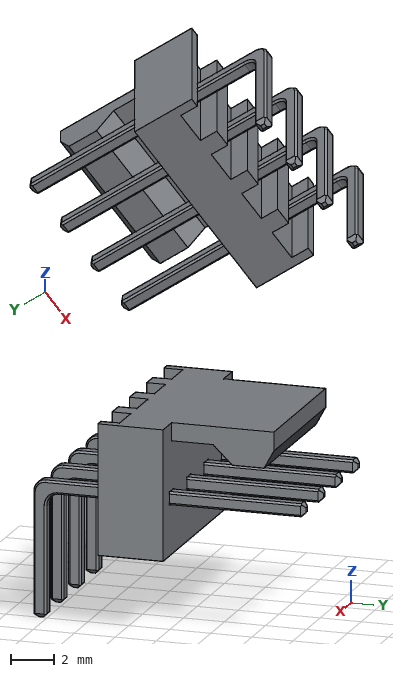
import cadquery as cq


pin_count = 4
housing_width = 10.16
pitch = housing_width / pin_count

housing_depth = 3.18
housing_height = 6.35
slot_depth = 0.91
rib_width = 0.91
slot_width = pitch - rib_width

latch_width = (pin_count - 1) * pitch
latch_length = 4.98
latch_thickness = 0.87
hook_height = 1.79
hook_nose_height = 0.91
hook_lead_in = 0.48
hook_flat_end = 2.01
hook_slope_end = 2.97

pin_size = 0.64
pin_length = 13.25
pin_setback = 3.47
tail_drop = 3.58
pin_top_depth = 3.26
pin_top = housing_height - pin_top_depth
bend_radius = 0.58
edge_chamfer = 0.1
tip_chamfer = 0.21


def make_housing_block():
    block = cq.Workplane("XY").box(
        housing_width, housing_depth, housing_height, centered=(True, False, False)
    )
    slots = (
        cq.Workplane("XY")
        .rarray(pitch, 0.13, pin_count, 1)
        .rect(slot_width, 2 * slot_depth)
        .extrude(housing_height)
    )
    return block.cut(slots)


def make_latch():
    latch_end = housing_depth + latch_length
    hook_bottom = housing_height - hook_height
    plate_bottom = housing_height - latch_thickness
    outline = [
        (housing_depth, housing_height),
        (latch_end, housing_height),
        (latch_end, housing_height - hook_nose_height),
        (latch_end - hook_lead_in, hook_bottom),
        (latch_end - hook_flat_end, hook_bottom),
        (latch_end - hook_slope_end, plate_bottom),
        (housing_depth, plate_bottom),
    ]
    return cq.Workplane("YZ").polyline(outline).close().extrude(latch_width / 2, both=True)


def make_bent_bar():
    """Sharp-edged square bar, bent down at its -Y end, centred on X = 0."""
    tail_outer = -pin_setback
    tail_inner = tail_outer + pin_size
    contact_end = tail_outer + pin_length
    pin_bottom = pin_top - pin_size
    outline = [
        (tail_outer, -tail_drop),
        (tail_inner, -tail_drop),
        (tail_inner, pin_bottom),
        (contact_end, pin_bottom),
        (contact_end, pin_top),
        (tail_outer, pin_top),
    ]
    bar = cq.Workplane("YZ").polyline(outline).close().extrude(pin_size / 2, both=True)
    inner_corner = cq.selectors.NearestToPointSelector((0, tail_inner, pin_bottom))
    outer_corner = cq.selectors.NearestToPointSelector((0, tail_outer, pin_top))
    bar = bar.edges("|X").edges(inner_corner).fillet(bend_radius)
    return bar.edges("|X").edges(outer_corner).fillet(bend_radius)


def make_pin():
    """Bent bar with chamfered long edges and both ends tapered to a blunt point."""
    bar = make_bent_bar()
    chamfered = bar.faces("<X or >X").edges("not(>Y or <Z)").chamfer(edge_chamfer)
    tapered = bar.faces(">Y or <Z").chamfer(tip_chamfer)
    return chamfered.intersect(tapered)


def make_housing():
    """Block and latch in one piece, with a square through hole for each pin."""
    holes = (
        cq.Workplane("XZ", origin=(0, housing_depth, pin_top - pin_size / 2))
        .rarray(pitch, 0.13, pin_count, 1)
        .rect(pin_size, pin_size)
        .extrude(housing_depth)
    )
    return make_housing_block().union(make_latch()).cut(holes).solids().val()


def make_pin_row():
    pin = make_pin().solids().val()
    first_x = -(pin_count - 1) * pitch / 2
    return [pin.translate(cq.Vector(first_x + index * pitch, 0, 0)) for index in range(pin_count)]


housing = make_housing()
pins = make_pin_row()
result = cq.Compound.makeCompound([housing, *pins])